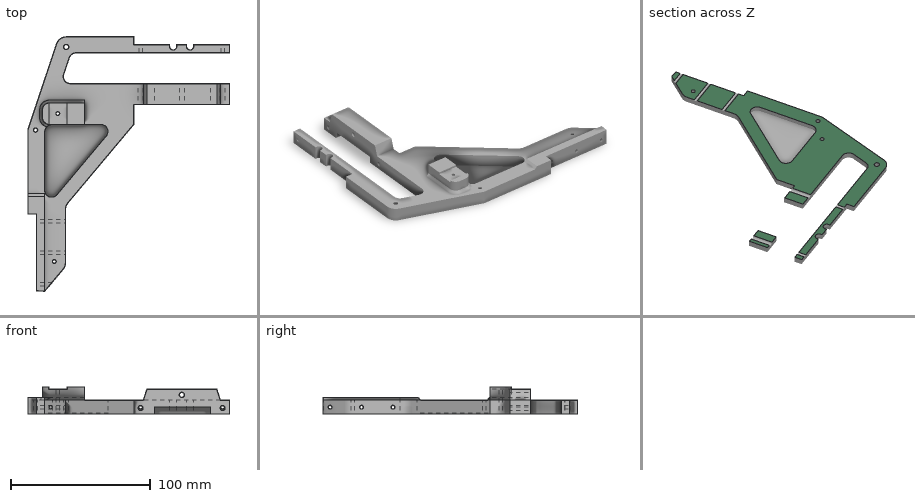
import cadquery as cq
import math

PLATE_THICKNESS = 10.0
TOTAL_LENGTH_X = 144.4
TOTAL_LENGTH_Y = 182.21
BODY_RIGHT_X = 75.8
BODY_FRONT_Y = -62.8
LEG_INNER_X = 27.0
DIAGONAL_ANGLE = 50
DIAGONAL_SLOPE = math.tan(math.radians(DIAGONAL_ANGLE))
LEG_BEND_RADIUS = 7.5

SLANT_BACK_X = 22.2
SLANT_FRONT_Y = -66.3
SLANT_RUN = SLANT_BACK_X / -SLANT_FRONT_Y
BACK_CORNER_RADIUS = 7.5
LEFT_CORNER_RADIUS = 5.0

BACK_ARM_STEP_Y = -5.7
SLOT_BACK_Y = -11.6
SLOT_FRONT_Y = -33.5
SLOT_LEFT_X = 30.8
SLOT_CORNER_RADIUS = 5.0
FRONT_ARM_FRONT_Y = -48.5
NOTCH_WIDTH = 5.0
NOTCH_DEPTH = 3.7
NOTCH_CENTRES_X = (104.0, 116.1)

ARM_BLOCK_TOP_Z = 18.0
ARM_BLOCK_CENTRE_X = 110.2
ARM_BLOCK_BASE_LENGTH = 55.2
ARM_BLOCK_TOP_LENGTH = 50.0
RECESS_CENTRE_X = 110.7
RECESS_LENGTH = 40.0
RECESS_HEIGHT = 5.0

RAIL_INNER_X = 12.0
RAIL_TOP_Z = 12.0
RAIL_FULL_HEIGHT_Y = -114.2
LEG_OUTER_X = 6.0
LEG_STEP_Y = -126.9
LEG_END_RISE = 0.3

POCKET_FLOOR_Z = 1.0
POCKET_RIGHT_X = 63.0
POCKET_CORNER_RADIUS = 5.0
POCKET_BOSS_CORNER_RADIUS = 5.6

BOSS_LEFT_X = 10.4
BOSS_RIGHT_X = 40.7
BOSS_BACK_Y = -47.4
BOSS_TOP_Z = 19.5
BOSS_NOSE_RADIUS = 5.0
BOSS_SEAT_Z = 18.0
BOSS_SEAT_LEFT_X = 15.0
BOSS_SEAT_RIGHT_X = 28.1
FOOT_FLARE = 2.0
FOOT_TAPER_DEGREES = 45

VERTICAL_HOLES = (
    (27.4, -7.3, 3.5),
    (5.5, -66.8, 2.8),
    (21.4, -55.0, 2.5),
    (18.9, -160.9, 2.5),
)
ARM_HOLE_CENTRES_X = (80.7, 139.4)
FRONT_ARM_HOLE_DIAMETER = 3.5
FRONT_ARM_HOLE_Z = 4.3
BACK_ARM_HOLE_DIAMETER = 2.5
BACK_ARM_HOLE_Z = 5.0
BLOCK_HOLE_DIAMETER = 3.5
BLOCK_HOLE_Z = 13.8
LEG_HOLE_DIAMETER = 2.5
LEG_HOLE_Z = 5.0
LEG_HOLE_FIRST_Y = -132.1
LEG_HOLE_SPACING = 22.5
LEG_HOLE_COUNT = 3


def box(x0, x1, y0, y1, z0, z1):
    return cq.Workplane("XY").box(x1 - x0, y1 - y0, z1 - z0, centered=False).translate((x0, y0, z0))


def round_corners(body, corners):
    """Fillet the upright edge nearest to each (x, y, radius) corner."""
    for x, y, radius in corners:
        edge = cq.selectors.NearestToPointSelector((x, y, PLATE_THICKNESS / 2))
        body = body.edges("|Z").edges(edge).fillet(radius)
    return body


def hole_along_y(x, z, diameter, back_y, front_y):
    start = cq.Workplane("XZ", origin=(x, back_y, z))
    return start.circle(diameter / 2).extrude(back_y - front_y)


def make_plate():
    end_y = -TOTAL_LENGTH_Y
    upper_bend_y = BODY_FRONT_Y - (BODY_RIGHT_X - LEG_INNER_X) * DIAGONAL_SLOPE
    lower_bend_y = end_y + (LEG_INNER_X - RAIL_INNER_X) * DIAGONAL_SLOPE
    slot_front_left_x = SLOT_LEFT_X + (SLOT_FRONT_Y - SLOT_BACK_Y) * SLANT_RUN
    outline = [
        (SLANT_BACK_X, 0),
        (BODY_RIGHT_X, 0),
        (BODY_RIGHT_X, BACK_ARM_STEP_Y),
        (TOTAL_LENGTH_X, BACK_ARM_STEP_Y),
        (TOTAL_LENGTH_X, SLOT_BACK_Y),
        (SLOT_LEFT_X, SLOT_BACK_Y),
        (slot_front_left_x, SLOT_FRONT_Y),
        (TOTAL_LENGTH_X, SLOT_FRONT_Y),
        (TOTAL_LENGTH_X, FRONT_ARM_FRONT_Y),
        (BODY_RIGHT_X, FRONT_ARM_FRONT_Y),
        (BODY_RIGHT_X, BODY_FRONT_Y),
        (LEG_INNER_X, upper_bend_y),
        (LEG_INNER_X, lower_bend_y),
        (RAIL_INNER_X, end_y),
        (LEG_OUTER_X, end_y + LEG_END_RISE),
        (LEG_OUTER_X, LEG_STEP_Y),
        (0, LEG_STEP_Y),
        (0, SLANT_FRONT_Y),
    ]
    plate = cq.Workplane("XY").polyline(outline).close().extrude(PLATE_THICKNESS)
    rounded_corners = (
        (SLANT_BACK_X, 0, BACK_CORNER_RADIUS),
        (0, SLANT_FRONT_Y, LEFT_CORNER_RADIUS),
        (SLOT_LEFT_X, SLOT_BACK_Y, SLOT_CORNER_RADIUS),
        (slot_front_left_x, SLOT_FRONT_Y, SLOT_CORNER_RADIUS),
        (LEG_INNER_X, upper_bend_y, LEG_BEND_RADIUS),
        (LEG_INNER_X, lower_bend_y, LEG_BEND_RADIUS),
    )
    return round_corners(plate, rounded_corners)


def make_rail():
    end_y = -TOTAL_LENGTH_Y
    outline = [
        (0, RAIL_FULL_HEIGHT_Y),
        (RAIL_INNER_X, RAIL_FULL_HEIGHT_Y),
        (RAIL_INNER_X, end_y),
        (LEG_OUTER_X, end_y + LEG_END_RISE),
        (LEG_OUTER_X, LEG_STEP_Y),
        (0, LEG_STEP_Y),
    ]
    ramp_length = RAIL_TOP_Z - PLATE_THICKNESS
    ramp = [
        (RAIL_FULL_HEIGHT_Y, PLATE_THICKNESS),
        (RAIL_FULL_HEIGHT_Y + ramp_length, PLATE_THICKNESS),
        (RAIL_FULL_HEIGHT_Y, RAIL_TOP_Z),
    ]
    rail = cq.Workplane("XY").polyline(outline).close().extrude(RAIL_TOP_Z)
    return rail.union(cq.Workplane("YZ").polyline(ramp).close().extrude(RAIL_INNER_X))


def make_arm_block():
    half_base = ARM_BLOCK_BASE_LENGTH / 2
    half_top = ARM_BLOCK_TOP_LENGTH / 2
    profile = [
        (ARM_BLOCK_CENTRE_X - half_base, PLATE_THICKNESS),
        (ARM_BLOCK_CENTRE_X + half_base, PLATE_THICKNESS),
        (ARM_BLOCK_CENTRE_X + half_top, ARM_BLOCK_TOP_Z),
        (ARM_BLOCK_CENTRE_X - half_top, ARM_BLOCK_TOP_Z),
    ]
    start = cq.Workplane("XZ", origin=(0, SLOT_FRONT_Y, 0))
    return start.polyline(profile).close().extrude(SLOT_FRONT_Y - FRONT_ARM_FRONT_Y)


def make_boss():
    blank = box(BOSS_LEFT_X, BOSS_RIGHT_X, BODY_FRONT_Y, BOSS_BACK_Y, PLATE_THICKNESS, BOSS_TOP_Z)
    blank = blank.edges("|Z and <X").fillet(BOSS_NOSE_RADIUS)
    seat = box(BOSS_SEAT_LEFT_X, BOSS_SEAT_RIGHT_X, BODY_FRONT_Y, BOSS_BACK_Y, BOSS_SEAT_Z, BOSS_TOP_Z)
    return blank.cut(seat).union(make_boss_foot())


def make_boss_foot():
    outline = box(
        BOSS_LEFT_X - FOOT_FLARE,
        BOSS_RIGHT_X + FOOT_FLARE,
        BODY_FRONT_Y - FOOT_FLARE,
        BOSS_BACK_Y + FOOT_FLARE,
        PLATE_THICKNESS,
        BOSS_TOP_Z,
    )
    outline = outline.edges("|Z and <X").fillet(BOSS_NOSE_RADIUS + FOOT_FLARE)
    foot = outline.faces("<Z").wires().toPending().extrude(FOOT_FLARE, combine=False, taper=FOOT_TAPER_DEGREES)
    end_trim = box(
        BOSS_RIGHT_X,
        BOSS_RIGHT_X + FOOT_FLARE,
        BODY_FRONT_Y - FOOT_FLARE,
        BOSS_BACK_Y + FOOT_FLARE,
        PLATE_THICKNESS,
        BOSS_TOP_Z,
    )
    return foot.cut(end_trim)


def make_pocket():
    tip_y = BODY_FRONT_Y - (POCKET_RIGHT_X - RAIL_INNER_X) * DIAGONAL_SLOPE
    outline = [
        (RAIL_INNER_X, BODY_FRONT_Y),
        (POCKET_RIGHT_X, BODY_FRONT_Y),
        (RAIL_INNER_X, tip_y),
    ]
    start = cq.Workplane("XY").workplane(offset=POCKET_FLOOR_Z)
    pocket = start.polyline(outline).close().extrude(BOSS_TOP_Z - POCKET_FLOOR_Z)
    rounded_corners = (
        (RAIL_INNER_X, BODY_FRONT_Y, POCKET_BOSS_CORNER_RADIUS),
        (POCKET_RIGHT_X, BODY_FRONT_Y, POCKET_CORNER_RADIUS),
        (RAIL_INNER_X, tip_y, POCKET_CORNER_RADIUS),
    )
    return round_corners(pocket, rounded_corners)


def make_recess():
    x0 = RECESS_CENTRE_X - RECESS_LENGTH / 2
    return box(x0, x0 + RECESS_LENGTH, FRONT_ARM_FRONT_Y, SLOT_FRONT_Y, 0, RECESS_HEIGHT)


def make_notch(x):
    radius = NOTCH_WIDTH / 2
    centre_y = BACK_ARM_STEP_Y - NOTCH_DEPTH + radius
    straight = box(x - radius, x + radius, centre_y, BACK_ARM_STEP_Y, 0, PLATE_THICKNESS)
    return straight.union(cq.Workplane("XY").center(x, centre_y).circle(radius).extrude(PLATE_THICKNESS))


def cut_vertical_holes(body):
    for x, y, diameter in VERTICAL_HOLES:
        body = body.cut(cq.Workplane("XY").center(x, y).circle(diameter / 2).extrude(BOSS_TOP_Z))
    return body


def cut_arm_holes(body):
    for x in ARM_HOLE_CENTRES_X:
        body = body.cut(hole_along_y(x, BACK_ARM_HOLE_Z, BACK_ARM_HOLE_DIAMETER, 0, SLOT_BACK_Y))
        body = body.cut(
            hole_along_y(x, FRONT_ARM_HOLE_Z, FRONT_ARM_HOLE_DIAMETER, SLOT_FRONT_Y, FRONT_ARM_FRONT_Y)
        )
    return body.cut(
        hole_along_y(ARM_BLOCK_CENTRE_X, BLOCK_HOLE_Z, BLOCK_HOLE_DIAMETER, SLOT_FRONT_Y, FRONT_ARM_FRONT_Y)
    )


def cut_leg_holes(body):
    for index in range(LEG_HOLE_COUNT):
        y = LEG_HOLE_FIRST_Y - index * LEG_HOLE_SPACING
        start = cq.Workplane("YZ").center(y, LEG_HOLE_Z)
        body = body.cut(start.circle(LEG_HOLE_DIAMETER / 2).extrude(LEG_INNER_X))
    return body


result = make_plate().union(make_rail()).union(make_arm_block()).union(make_boss())
result = result.cut(make_pocket()).cut(make_recess())
for notch_x in NOTCH_CENTRES_X:
    result = result.cut(make_notch(notch_x))
result = cut_vertical_holes(result)
result = cut_arm_holes(result)
result = cut_leg_holes(result)